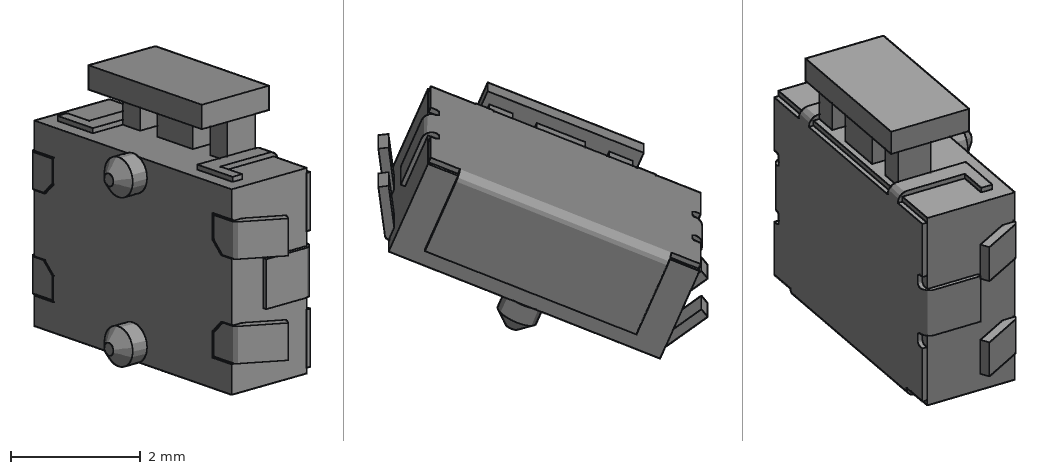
import cadquery as cq
import math


HOUSING_WIDTH = 4.54
HOUSING_DEPTH = 1.565
HOUSING_HEIGHT = 3.34
HALF_WIDTH = HOUSING_WIDTH / 2
MID_HEIGHT = HOUSING_HEIGHT / 2

COVER_THICKNESS = 0.08
COVER_BEND_RADIUS = 0.17
BACK_PLATE_WIDTH = 4.52
COVER_ROOT = 2 * COVER_BEND_RADIUS
COVER_BACK = HOUSING_DEPTH + COVER_THICKNESS
COVER_TOP = HOUSING_HEIGHT + COVER_THICKNESS
FLANGE_FRONT = 0.255
BOTTOM_FLANGE_WIDTH = 3.54
TOP_LEG_INNER = 1.2
TOP_LEG_OUTER = 1.51
TOP_FOOT_OUTER = 2.01
TOP_FOOT_DEPTH = 0.2
SIDE_FLANGE_THICKNESS = 0.07
SIDE_FLANGE_OUTER = HALF_WIDTH + SIDE_FLANGE_THICKNESS
SIDE_FLANGE_HEIGHT = 0.81
SIDE_FLANGE_FRONT = 0.655
NOTCH_HEIGHT = 0.23
NOTCH_DEPTH = 0.155
NOTCH_RADIUS = 0.07

PIN_RADIUS = 0.325
PIN_TIP_RADIUS = 0.105
PIN_STRAIGHT_LENGTH = 0.3
PIN_LENGTH = 0.5
PIN_SPACING = 2.75

TERMINAL_OFFSET = 0.85
TERMINAL_HEIGHT = 0.605
TERMINAL_THICKNESS = 0.16
TERMINAL_ANGLE = math.radians(60)
TERMINAL_BEND_RADIUS = 0.1
TERMINAL_REACH = 2.755
PAD_INNER = 1.85
PAD_CHAMFER = 0.205
PAD_GAP = 0.02
PAD_NEAR_GAP = 0.005
POCKET_DEPTH = 0.02

PLATE_WIDTH = 2.61
PLATE_THICKNESS = 0.395
SLIDER_TOP = 4.42
PLATE_BOTTOM = SLIDER_TOP - PLATE_THICKNESS
POST_FRONT = 0.875
POST_BACK = 1.46
MIDDLE_POST_WIDTH = 0.815
SIDE_POST_WIDTH = 0.395
SIDE_POST_CENTER = TOP_LEG_INNER - SIDE_POST_WIDTH / 2


def block(x_range, y_range, z_range):
    """Box between two limits on each axis."""
    (x0, x1), (y0, y1), (z0, z1) = x_range, y_range, z_range
    return cq.Workplane("XY").box(x1 - x0, y1 - y0, z1 - z0, centered=False).translate((x0, y0, z0))


def centered(width, middle=0.0):
    """Limits of a stretch of the given width about its middle."""
    return (middle - width / 2, middle + width / 2)


def both_sides(right_solid):
    """A right-hand feature together with its mirror image on the left."""
    return [right_solid, right_solid.mirror("YZ")]


def make_back_plate():
    """Cover plate on the back, cut away for the side bends and notched above and below them."""
    bend_inset = COVER_BEND_RADIUS - COVER_THICKNESS
    plate = block(
        centered(BACK_PLATE_WIDTH), (HOUSING_DEPTH, COVER_BACK), (bend_inset, HOUSING_HEIGHT - bend_inset)
    )
    bend_window = block(
        (SIDE_FLANGE_OUTER - COVER_BEND_RADIUS, SIDE_FLANGE_OUTER),
        (HOUSING_DEPTH, COVER_BACK),
        centered(SIDE_FLANGE_HEIGHT, MID_HEIGHT),
    )
    for window in both_sides(bend_window):
        plate = plate.cut(window)
    for direction in (-1, 1):
        notch_middle = MID_HEIGHT + direction * (SIDE_FLANGE_HEIGHT + NOTCH_HEIGHT) / 2
        notch = block(
            (HALF_WIDTH - NOTCH_DEPTH, HALF_WIDTH + NOTCH_DEPTH),
            (HOUSING_DEPTH, COVER_BACK),
            centered(NOTCH_HEIGHT, notch_middle),
        ).edges("|Y and <X").fillet(NOTCH_RADIUS)
        for side_notch in both_sides(notch):
            plate = plate.cut(side_notch)
    return plate


def make_top_flange():
    """Right-hand L-shaped flange folded over the housing top."""
    leg = block(
        (TOP_LEG_INNER, TOP_LEG_OUTER), (FLANGE_FRONT, COVER_BACK), (COVER_TOP - COVER_ROOT, COVER_TOP)
    ).edges("|X and >Y and >Z").fillet(COVER_BEND_RADIUS)
    foot = block(
        (TOP_LEG_INNER, TOP_FOOT_OUTER),
        (FLANGE_FRONT, FLANGE_FRONT + TOP_FOOT_DEPTH),
        (HOUSING_HEIGHT, COVER_TOP),
    )
    return leg.union(foot)


def make_bottom_flange():
    """Flange folded under the housing."""
    flange = block(
        centered(BOTTOM_FLANGE_WIDTH),
        (FLANGE_FRONT, COVER_BACK),
        (-COVER_THICKNESS, COVER_ROOT - COVER_THICKNESS),
    )
    return flange.edges("|X and >Y and <Z").fillet(COVER_BEND_RADIUS)


def make_side_flange():
    """Right-hand flange folded along the housing side."""
    flange = block(
        (SIDE_FLANGE_OUTER - COVER_ROOT, SIDE_FLANGE_OUTER),
        (SIDE_FLANGE_FRONT, COVER_BACK),
        centered(SIDE_FLANGE_HEIGHT, MID_HEIGHT),
    )
    return flange.edges("|Z and >X and >Y").fillet(COVER_BEND_RADIUS)


def make_pin(height):
    """Locating pin with a conical tip, standing out from the mounting face."""
    profile = [
        (0, 0),
        (0, PIN_RADIUS),
        (-PIN_STRAIGHT_LENGTH, PIN_RADIUS),
        (-PIN_LENGTH, PIN_TIP_RADIUS),
        (-PIN_LENGTH, 0),
    ]
    pin = cq.Workplane("YZ").polyline(profile).close().revolve(360, (0, 0, 0), (1, 0, 0))
    return pin.translate((0, 0, height))


def make_pad(direction, gap, near_gap):
    """Right-hand pad set into the mounting face, widened by the gap on its inner and far edges
    and by the near gap on the edge closest to mid height.

    The direction is 1 for a terminal above mid height and -1 for one below.
    """
    inner_x = PAD_INNER - gap
    near_z = MID_HEIGHT + direction * (TERMINAL_OFFSET - TERMINAL_HEIGHT / 2 - near_gap)
    far_z = MID_HEIGHT + direction * (TERMINAL_OFFSET + TERMINAL_HEIGHT / 2 + gap)
    outline = [
        (HALF_WIDTH, near_z),
        (inner_x + PAD_CHAMFER, near_z),
        (inner_x, near_z + direction * PAD_CHAMFER),
        (inner_x, far_z),
        (HALF_WIDTH, far_z),
    ]
    return cq.Workplane("XZ").polyline(outline).close().extrude(-POCKET_DEPTH)


def make_leg(direction):
    """Right-hand terminal leg, bent from the mounting face to slope outwards and back."""
    sin_a = math.sin(TERMINAL_ANGLE)
    cos_a = math.cos(TERMINAL_ANGLE)
    slope = math.tan(TERMINAL_ANGLE)

    def on_bend(angle):
        return (
            HALF_WIDTH + TERMINAL_BEND_RADIUS * math.sin(angle), TERMINAL_BEND_RADIUS * (1 - math.cos(angle))
        )

    bend_end = on_bend(TERMINAL_ANGLE)
    tip_outer = (TERMINAL_REACH, bend_end[1] + (TERMINAL_REACH - bend_end[0]) * slope)
    tip_inner = (tip_outer[0] - TERMINAL_THICKNESS * sin_a, tip_outer[1] + TERMINAL_THICKNESS * cos_a)
    wall_point = (HALF_WIDTH, tip_inner[1] - (tip_inner[0] - HALF_WIDTH) * slope)
    leg = (
        cq.Workplane("XY")
        .moveTo(HALF_WIDTH, 0)
        .threePointArc(on_bend(TERMINAL_ANGLE / 2), bend_end)
        .lineTo(*tip_outer)
        .lineTo(*tip_inner)
        .lineTo(*wall_point)
        .close()
        .extrude(TERMINAL_HEIGHT)
    )
    return leg.translate((0, 0, MID_HEIGHT + direction * TERMINAL_OFFSET - TERMINAL_HEIGHT / 2))


def make_housing():
    """Housing with its cover, locating pins and terminals."""
    body = block(centered(HOUSING_WIDTH), (0, HOUSING_DEPTH), (0, HOUSING_HEIGHT))
    additions = [make_back_plate(), make_bottom_flange()]
    additions += both_sides(make_top_flange())
    additions += both_sides(make_side_flange())
    for direction in (-1, 1):
        for pocket in both_sides(make_pad(direction, PAD_GAP, PAD_NEAR_GAP)):
            body = body.cut(pocket)
        additions.append(make_pin(MID_HEIGHT + direction * PIN_SPACING / 2))
        additions += both_sides(make_pad(direction, 0, 0))
        additions += both_sides(make_leg(direction))
    for addition in additions:
        body = body.union(addition)
    return body


def make_slider():
    """Push plate on three posts that stand on the housing top."""
    slider = block(centered(PLATE_WIDTH), (FLANGE_FRONT, COVER_BACK), (PLATE_BOTTOM, SLIDER_TOP))
    posts = [
        (-SIDE_POST_CENTER, SIDE_POST_WIDTH),
        (0, MIDDLE_POST_WIDTH),
        (SIDE_POST_CENTER, SIDE_POST_WIDTH),
    ]
    for middle, width in posts:
        post = block(centered(width, middle), (POST_FRONT, POST_BACK), (HOUSING_HEIGHT, PLATE_BOTTOM))
        slider = slider.union(post)
    return slider


housing = make_housing()
slider = make_slider()
result = cq.Compound.makeCompound([housing.val(), slider.val()])